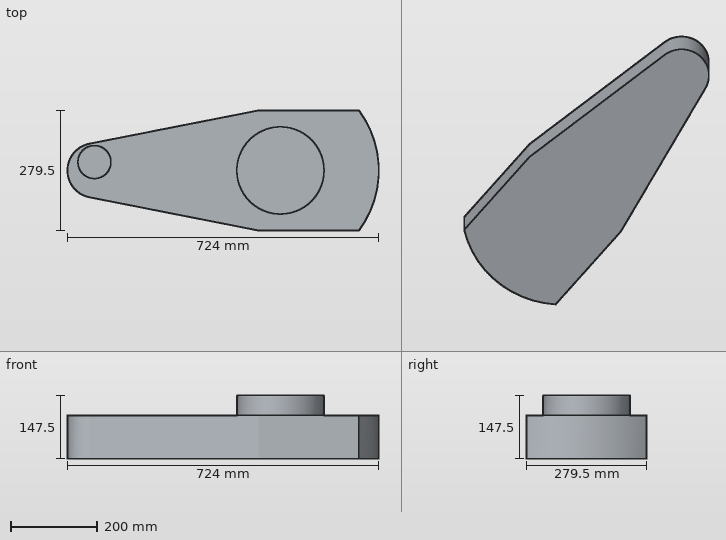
import cadquery as cq
import math

length = 724.0
width = 279.5
plate_thickness = 100.5
nose_radius = 64.0
shoulder_x = 444.0
tail_corner_x = 677.5

boss_x = 495.0
boss_radius = 101.0
boss_height = 47.0
boss_edge_radius = 3.0

pin_x = 63.0
pin_y = 19.5
pin_radius = 38.5
pin_height = 0.15

half_width = width / 2


def nose_tangent_point():
    """Upper point where the straight flank meets the nose arc."""
    run = shoulder_x - nose_radius
    distance = math.hypot(run, half_width)
    angle = math.atan2(half_width, run) + math.acos(nose_radius / distance)
    x = nose_radius + nose_radius * math.cos(angle)
    y = nose_radius * math.sin(angle)
    return x, y


def make_plate():
    tangent_x, tangent_y = nose_tangent_point()
    return (
        cq.Workplane("XY")
        .moveTo(tangent_x, -tangent_y)
        .lineTo(shoulder_x, -half_width)
        .lineTo(tail_corner_x, -half_width)
        .threePointArc((length, 0), (tail_corner_x, half_width))
        .lineTo(shoulder_x, half_width)
        .lineTo(tangent_x, tangent_y)
        .threePointArc((0, 0), (tangent_x, -tangent_y))
        .close()
        .extrude(plate_thickness)
    )


def make_boss():
    return (
        cq.Workplane("XY", origin=(boss_x, 0, 0))
        .circle(boss_radius)
        .extrude(plate_thickness + boss_height)
        .faces(">Z")
        .fillet(boss_edge_radius)
    )


def make_pin():
    return (
        cq.Workplane("XY", origin=(pin_x, pin_y, 0))
        .circle(pin_radius)
        .extrude(plate_thickness + pin_height)
    )


result = make_plate().union(make_boss()).union(make_pin())